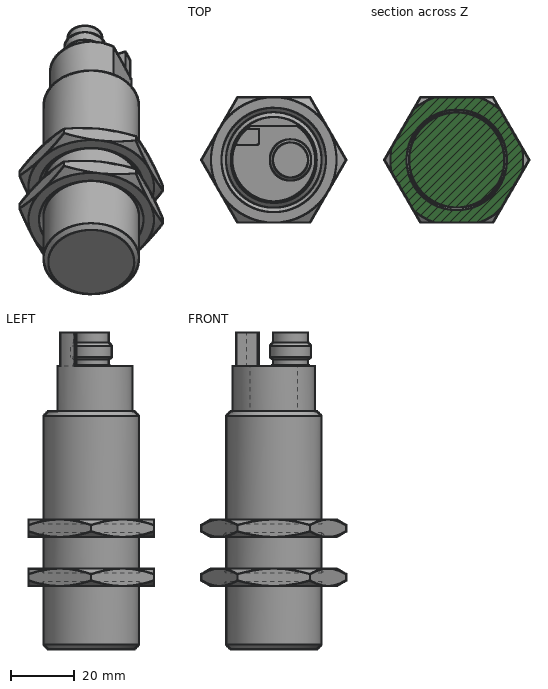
import cadquery as cq
import math

overall_height = 99.5

body_radius = 15.0
body_height = 74.8
body_chamfer = 1.5

nut_across_flats = 39.41
nut_sides = 6
nut_height = 5.5
nut_bottoms = (19.9, 35.3)
nut_crown_angle = 30.0
nut_bore_chamfer = 1.4

cap_radius = 13.0
cap_height = 14.2
cap_flat_y = 10.6

key_inner_x = -4.55
key_front_y = 4.65
key_back_y = 9.75
key_bevel = 0.6
key_outer_bevel_width = 0.2

plug_x = 5.25
plug_radius = 5.5
plug_foot_radius = 5.75
plug_foot_height = 0.25
collar_radius = 6.5
collar_upper_bevel_height = 1.1
collar_lower_bevel_height = 0.75
collar_bottom = 91.0
collar_top = 96.4

cap_top = body_height + cap_height
nut_flat_radius = nut_across_flats / 2
nut_corner_radius = nut_flat_radius / math.cos(math.pi / nut_sides)


def make_body():
    """Cylinder with equal chamfers on both end edges."""
    body = cq.Workplane("XY").circle(body_radius).extrude(body_height)
    return body.faces("<Z or >Z").edges().chamfer(body_chamfer)


def make_nut(bottom):
    """Hexagon with crowned corners and chamfered bore mouths, corners on the X axis."""
    crown_drop = (nut_corner_radius - nut_flat_radius) * math.tan(math.radians(nut_crown_angle))
    top = bottom + nut_height
    mouth_radius = body_radius + nut_bore_chamfer

    base = cq.Workplane("XY", origin=(0, 0, bottom))
    hexagon = base.polygon(nut_sides, 2 * nut_corner_radius).extrude(nut_height)
    turned_profile = [
        (body_radius, bottom + nut_bore_chamfer),
        (body_radius, top - nut_bore_chamfer),
        (mouth_radius, top),
        (nut_flat_radius, top),
        (nut_corner_radius, top - crown_drop),
        (nut_corner_radius, bottom + crown_drop),
        (nut_flat_radius, bottom),
        (mouth_radius, bottom),
    ]
    ring = cq.Workplane("XZ").polyline(turned_profile).close().revolve(360, (0, 0), (0, 1))
    return hexagon.intersect(ring)


def make_cap():
    """Cylinder cut by the flat on its +Y side."""
    cap = cq.Workplane("XY", origin=(0, 0, body_height)).circle(cap_radius).extrude(cap_height)
    flat_depth = cap_radius - cap_flat_y
    beyond_flat = cq.Workplane("XY").box(
        2 * cap_radius, flat_depth, cap_height, centered=(True, False, False)
    )
    beyond_flat = beyond_flat.translate((0, cap_flat_y, body_height))
    return cap.cut(beyond_flat)


def cap_wall_x(y):
    """X of the cap wall on its -X side at the given Y."""
    return -math.sqrt(cap_radius**2 - y**2)


def make_key():
    """Upright block with its front corners bevelled and an outer side on the cap cylinder."""
    bevel_y = key_front_y + key_bevel
    outer_front_x = cap_wall_x(bevel_y)
    outer_back_x = cap_wall_x(key_back_y)
    middle_y = (bevel_y + key_back_y) / 2
    outer_middle = (cap_wall_x(middle_y), middle_y)
    return (
        cq.Workplane("XY", origin=(0, 0, cap_top))
        .moveTo(outer_front_x + key_outer_bevel_width, key_front_y)
        .lineTo(key_inner_x - key_bevel, key_front_y)
        .lineTo(key_inner_x, bevel_y)
        .lineTo(key_inner_x, key_back_y)
        .lineTo(outer_back_x, key_back_y)
        .threePointArc(outer_middle, (outer_front_x, bevel_y))
        .close()
        .extrude(overall_height - cap_top)
    )


def make_plug():
    """Revolved pin with a bevelled collar."""
    profile = [
        (0, cap_top),
        (plug_foot_radius, cap_top),
        (plug_foot_radius, cap_top + plug_foot_height),
        (plug_radius, cap_top + plug_foot_height),
        (plug_radius, collar_bottom),
        (collar_radius, collar_bottom + collar_lower_bevel_height),
        (collar_radius, collar_top - collar_upper_bevel_height),
        (plug_radius, collar_top),
        (plug_radius, overall_height),
        (0, overall_height),
    ]
    plug = cq.Workplane("XZ").polyline(profile).close().revolve(360, (0, 0), (0, 1))
    return plug.translate((plug_x, 0, 0))


result = make_body().union(make_cap()).union(make_key()).union(make_plug())
for nut_bottom in nut_bottoms:
    result = result.union(make_nut(nut_bottom))